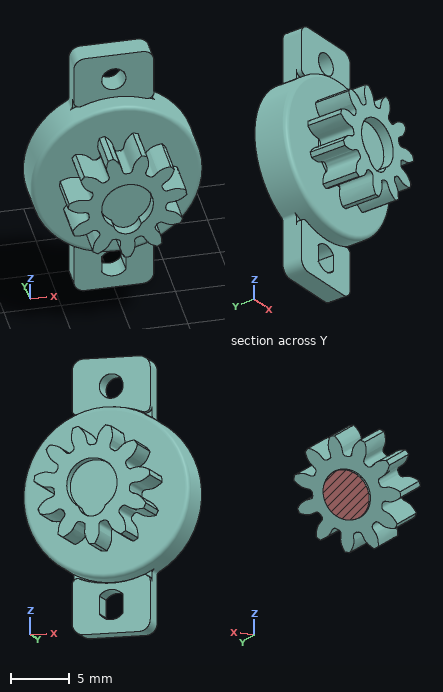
import cadquery as cq
import math


SELECTION_MARGIN = 0.02

BODY_DIAMETER = 15.0
BODY_RADIUS = BODY_DIAMETER / 2
BODY_DEPTH = 3.4
BODY_FILLET = 0.4
OVERALL_HEIGHT = 24.0
EAR_WIDTH = 7.0
EAR_DEPTH = 2.0
EAR_CORNER_RADIUS = 1.0
EAR_ROOT_FILLET = 0.35

RELIEF_FLOOR_DEPTH = 1.46
RELIEF_RADIUS = 7.65
RELIEF_CORNER_RADIUS = 0.5

HOLE_DIAMETER = 2.1
HOLE_OFFSET = 9.5
SLOT_HEIGHT = 2.62

COLLAR_RADIUS = 2.98
COLLAR_END_DEPTH = 3.72
COLLAR_FILLET = 0.25
NECK_RADIUS = 2.25

TOOTH_COUNT = 11
TIP_RADIUS = 5.2
MODULE = 2 * TIP_RADIUS / (TOOTH_COUNT + 2)
PRESSURE_ANGLE = math.radians(20)
GEAR_BACK_DEPTH = 3.94
GEAR_END_DEPTH = 7.5
GEAR_WIDTH = GEAR_END_DEPTH - GEAR_BACK_DEPTH
PITCH_RADIUS = MODULE * TOOTH_COUNT / 2
BASE_RADIUS = PITCH_RADIUS * math.cos(PRESSURE_ANGLE)
ROOT_RADIUS = PITCH_RADIUS - 1.25 * MODULE
ROOT_HALF_WIDTH = 0.6
ROOT_FILLET = 0.34
FLANK_STEPS = 6

RECESS_RADIUS = 2.25
RECESS_LOBE_RADIUS = 1.25
RECESS_LOBE_OFFSET = 1.55
RECESS_DEPTH = 1.0


def plane_at(depth):
    """Workplane facing forward, with local x along X and local y along Z."""
    return cq.Workplane("XZ", origin=(0, -depth, 0))


def cylinder(radius, start_depth, end_depth):
    return plane_at(start_depth).circle(radius).extrude(end_depth - start_depth)


def ear_side_edges(solid, low_z, high_z):
    """Edges along Y that lie on the ear sides between two heights."""
    half = EAR_WIDTH / 2
    boxes = [
        cq.selectors.BoxSelector(
            (side * half - SELECTION_MARGIN, -BODY_DEPTH, low_z),
            (side * half + SELECTION_MARGIN, 0, high_z),
        )
        for side in (-1, 1)
    ]
    return solid.edges("|Y").edges(boxes[0] + boxes[1])


def ear_plate(start_depth, end_depth):
    """Plate through both ears, with rounded outer corners."""
    return (
        plane_at(start_depth)
        .rect(EAR_WIDTH, OVERALL_HEIGHT)
        .extrude(end_depth - start_depth)
        .edges("|Y")
        .fillet(EAR_CORNER_RADIUS)
    )


def make_housing():
    back_layer = ear_plate(0, RELIEF_FLOOR_DEPTH).union(cylinder(BODY_RADIUS, 0, RELIEF_FLOOR_DEPTH))
    for low_z, high_z in ((0, BODY_RADIUS), (-BODY_RADIUS, 0)):
        back_layer = ear_side_edges(back_layer, low_z, high_z).fillet(EAR_ROOT_FILLET)

    front_layer = ear_plate(RELIEF_FLOOR_DEPTH, EAR_DEPTH).cut(
        cylinder(RELIEF_RADIUS, RELIEF_FLOOR_DEPTH, EAR_DEPTH)
    )
    front_layer = ear_side_edges(front_layer, -BODY_RADIUS, BODY_RADIUS).fillet(RELIEF_CORNER_RADIUS)

    body = cylinder(BODY_RADIUS, 0, BODY_DEPTH).faces("<Y").edges().fillet(BODY_FILLET)
    return back_layer.union(front_layer).union(body)


def make_mounting_holes():
    """Round hole in the upper ear; round hole with two flats in the lower ear."""
    round_hole = plane_at(0).center(0, HOLE_OFFSET).circle(HOLE_DIAMETER / 2).extrude(EAR_DEPTH)
    flats = plane_at(0).center(0, -HOLE_OFFSET).rect(HOLE_DIAMETER, SLOT_HEIGHT).extrude(EAR_DEPTH)
    slot = plane_at(0).center(0, -HOLE_OFFSET).circle(SLOT_HEIGHT / 2).extrude(EAR_DEPTH)
    return round_hole.union(slot.intersect(flats))


def make_hub():
    collar = cylinder(COLLAR_RADIUS, BODY_DEPTH, COLLAR_END_DEPTH)
    collar = collar.faces("<Y").edges().fillet(COLLAR_FILLET)
    return collar.union(cylinder(NECK_RADIUS, BODY_DEPTH, GEAR_BACK_DEPTH))


def involute(angle):
    return math.tan(angle) - angle


def flank_point(radius, side):
    """Point on an involute flank of the tooth centred on -Z."""
    half_angle_at_pitch = math.pi / (2 * TOOTH_COUNT)
    roll = involute(PRESSURE_ANGLE) - involute(math.acos(BASE_RADIUS / radius))
    half_angle = half_angle_at_pitch + roll
    return (side * radius * math.sin(half_angle), -radius * math.cos(half_angle))


def make_tooth():
    radius_step = (TIP_RADIUS - BASE_RADIUS) / FLANK_STEPS
    radii = [BASE_RADIUS + i * radius_step for i in range(FLANK_STEPS + 1)]
    left_flank = [flank_point(radius, -1) for radius in radii]
    right_flank = [flank_point(radius, 1) for radius in reversed(radii)]
    foot_z = -math.sqrt(ROOT_RADIUS**2 - ROOT_HALF_WIDTH**2)
    inner_z = -NECK_RADIUS
    return (
        plane_at(GEAR_BACK_DEPTH)
        .moveTo(-ROOT_HALF_WIDTH, inner_z)
        .lineTo(-ROOT_HALF_WIDTH, foot_z)
        .lineTo(*left_flank[0])
        .spline(left_flank[1:], includeCurrent=True)
        .threePointArc((0, -TIP_RADIUS), right_flank[0])
        .spline(right_flank[1:], includeCurrent=True)
        .lineTo(ROOT_HALF_WIDTH, foot_z)
        .lineTo(ROOT_HALF_WIDTH, inner_z)
        .close()
        .extrude(GEAR_WIDTH)
    )


def make_gear():
    gear = cylinder(ROOT_RADIUS, GEAR_BACK_DEPTH, GEAR_END_DEPTH)
    tooth = make_tooth()
    for i in range(TOOTH_COUNT):
        gear = gear.union(tooth.rotate((0, 0, 0), (0, 1, 0), i * 360 / TOOTH_COUNT))

    root_edges = [
        edge for edge in gear.edges("|Y").vals()
        if math.hypot(edge.Center().x, edge.Center().z) < ROOT_RADIUS + SELECTION_MARGIN
    ]
    return gear.newObject(root_edges).fillet(ROOT_FILLET)


def make_recess():
    start_depth = GEAR_END_DEPTH - RECESS_DEPTH
    lobe_centre = plane_at(start_depth).center(0, -RECESS_LOBE_OFFSET)
    lobe = lobe_centre.circle(RECESS_LOBE_RADIUS).extrude(RECESS_DEPTH)
    return cylinder(RECESS_RADIUS, start_depth, GEAR_END_DEPTH).union(lobe)


housing = make_housing().cut(make_mounting_holes())
pinion = make_gear().cut(make_recess())
result = housing.union(make_hub()).union(pinion)